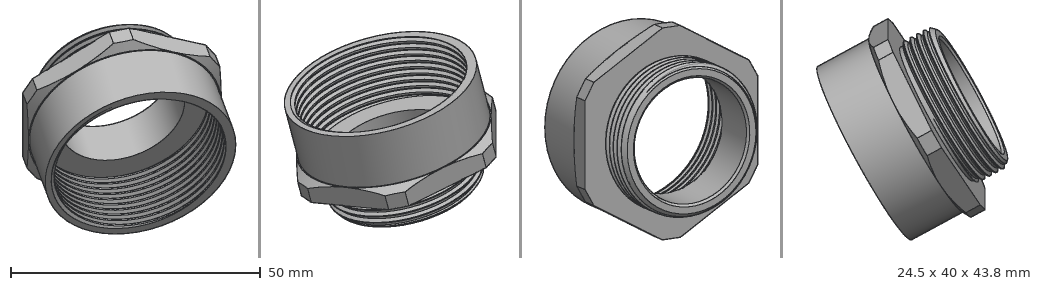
import cadquery as cq
import math

total_length = 24.5
collar_start = 8.0
collar_end = 12.5

across_flats = 40.0
across_trimmed_corners = 43.8
collar_chamfer_tilt = 60.0
half_side_turn = 30.0

lead_in_tilt = 45.0

sleeve_diameter = 39.5

bore_diameter = 26.0
bore_chamfer = 0.5

thread_turns = 4
thread_advance = 6.0
pitch = thread_advance / thread_turns
thread_depth = pitch / 2
crest_width = pitch / 8
flank_angle = 30.0
root_overlap = 0.15

spigot_diameter = 30.5
spigot_chamfer_start_diameter = 29.8
male_crest_position = 1.05
male_thread_end = 7.3

socket_start = 10.25
socket_diameter = 35.5
female_crest_position = 10.55


def x_cylinder(diameter, start, end):
    """Solid cylinder about the X axis between two X positions."""
    return cq.Workplane("YZ", origin=(start, 0, 0)).circle(diameter / 2).extrude(end - start)


def x_cone(start_diameter, start, end, tilt):
    """Cone frustum about the X axis; the tilt is the wall's angle in degrees from the X axis."""
    end_radius = start_diameter / 2 + (end - start) * math.tan(math.radians(tilt))
    outline = [(start, 0), (start, start_diameter / 2), (end, end_radius), (end, 0)]
    return cq.Workplane("XZ").polyline(outline).close().revolve(360, (0, 0), (1, 0))


def collar_prism(flats, turn):
    """Hexagonal prism as long as the collar; with no turn it has flats facing up and down."""
    circumscribed = flats / math.cos(math.pi / 6)
    prism = cq.Workplane("YZ", origin=(collar_start, 0, 0)).polygon(6, circumscribed)
    return prism.extrude(collar_end - collar_start).rotate((0, 0, 0), (1, 0, 0), turn)


def threaded_rod(root_diameter, crest_position, start, end):
    """Rod with a right-handed helical ridge, cut off square at both ends."""
    helix_start = crest_position - pitch * math.ceil((crest_position - start) / pitch + 1)
    helix_length = end - helix_start + pitch
    root_radius = root_diameter / 2
    slope = math.tan(math.radians(flank_angle))
    half_crest = crest_width / 2
    half_base = half_crest + (thread_depth + root_overlap) * slope
    profile = [
        (helix_start - half_base, root_radius - root_overlap),
        (helix_start - half_crest, root_radius + thread_depth),
        (helix_start + half_crest, root_radius + thread_depth),
        (helix_start + half_base, root_radius - root_overlap),
    ]
    path = cq.Wire.makeHelix(
        pitch, helix_length, root_radius, cq.Vector(helix_start, 0, 0), cq.Vector(1, 0, 0)
    )
    ridge = cq.Workplane("XZ").polyline(profile).close().sweep(cq.Workplane(path), isFrenet=True)
    core = x_cylinder(root_diameter, helix_start - pitch, end + 2 * pitch)
    trim = x_cylinder(2 * root_diameter, start, end)
    return core.union(ridge).intersect(trim)


collar = collar_prism(across_flats, half_side_turn).intersect(collar_prism(across_trimmed_corners, 0))
chamfer_cone = x_cone(across_flats, collar_end, collar_start, -collar_chamfer_tilt)
collar = collar.intersect(chamfer_cone)

lead_in = x_cone(spigot_chamfer_start_diameter, 0, male_thread_end, lead_in_tilt)
male_thread = threaded_rod(spigot_diameter, male_crest_position, 0, male_thread_end).intersect(lead_in)
spigot = male_thread.union(x_cylinder(spigot_diameter, male_thread_end, collar_end))

body = collar.union(spigot).union(x_cylinder(sleeve_diameter, collar_start, total_length))

bore = x_cylinder(bore_diameter, 0, total_length)
bore_lead_in = x_cone(bore_diameter + 2 * bore_chamfer, 0, bore_chamfer, -lead_in_tilt)
socket = threaded_rod(socket_diameter, female_crest_position, socket_start, total_length)

hollow_body = body.cut(bore).cut(bore_lead_in).cut(socket)
result = cq.Workplane(hollow_body.solids().val())